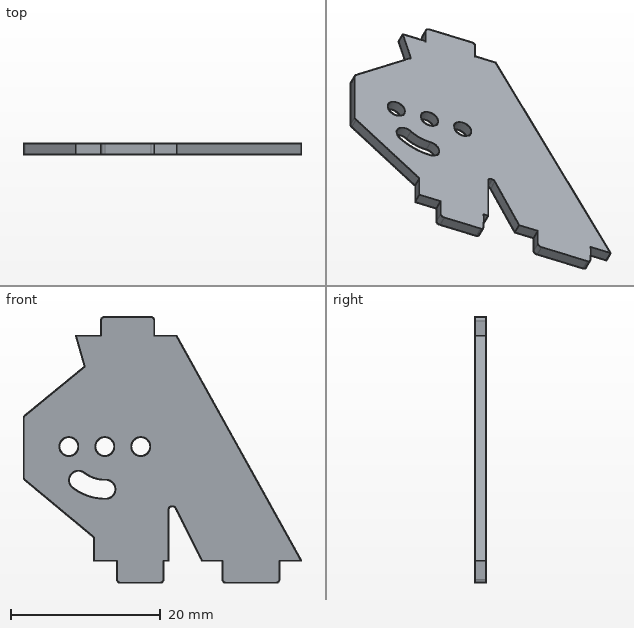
import cadquery as cq
import math

thickness = 1.5
overall_width = 37.1
overall_height = 35.51

top_tab_height = 2.5
base_tab_height = 2.93
body_height = overall_height - top_tab_height - base_tab_height
top_tab_left = 10.32
top_tab_right = 17.47
left_tab_left = 12.46
left_tab_right = 18.7
right_tab_left = 26.54
right_tab_right = 34.18
tab_corner_radius = 0.5

nose_bottom = 10.95
nose_top = 19.27
nose_corner_radius = 0.5
foot_left = 9.38
foot_top = 3.16
neck_x = 8.15
neck_z = 25.95
top_edge_left = 6.97
top_edge_right = 20.42

notch_left = 19.37
notch_base_right = 23.83
notch_top_right = 20.17
notch_depth = 7.28
notch_corner_radius = 0.42

hole_diameter = 2.5
hole_pitch = 4.8
middle_hole_x = 10.85
hole_row_z = 15.27
slot_width = 2.5
slot_radius = 5.7
slot_start_angle = 232
slot_end_angle = 271.5


def extrude_outline(points):
    """Extrude a closed XZ polygon through the plate thickness, from Y = 0 to +Y."""
    return cq.Workplane("XZ").polyline(points).close().extrude(-thickness)


def make_body():
    """Plate without tabs, notch or holes, with both nose corners rounded."""
    outline = [
        (foot_left, 0),
        (overall_width, 0),
        (top_edge_right, body_height),
        (top_edge_left, body_height),
        (neck_x, neck_z),
        (0, nose_top),
        (0, nose_bottom),
        (foot_left, foot_top),
    ]
    return extrude_outline(outline).faces("<X").edges("|Y").fillet(nose_corner_radius)


def make_tab(left, right, root_z, tip_z, tip_side):
    """Rectangular tab with its two tip corners rounded."""
    corners = [(left, root_z), (right, root_z), (right, tip_z), (left, tip_z)]
    tab = extrude_outline(corners)
    return tab.faces(tip_side).edges("|Y").fillet(tab_corner_radius)


def make_notch():
    """Cutter for the tapered notch, rounded at its closed end."""
    corners = [
        (notch_left, 0),
        (notch_base_right, 0),
        (notch_top_right, notch_depth),
        (notch_left, notch_depth),
    ]
    notch = extrude_outline(corners)
    return notch.faces(">Z").edges("|Y").fillet(notch_corner_radius)


def make_holes():
    """Cutters for the three round holes."""
    centers = [(middle_hole_x + step * hole_pitch, hole_row_z) for step in (-1, 0, 1)]
    return cq.Workplane("XZ").pushPoints(centers).circle(hole_diameter / 2).extrude(-thickness)


def point_around_middle_hole(radius, angle):
    """XZ point at a radius and an angle in degrees about the middle hole."""
    radians = math.radians(angle)
    return (middle_hole_x + radius * math.cos(radians), hole_row_z + radius * math.sin(radians))


def make_slot():
    """Cutter for the curved slot: an arc band with a round end at each side."""
    inner_radius = slot_radius - slot_width / 2
    outer_radius = slot_radius + slot_width / 2
    middle_angle = (slot_start_angle + slot_end_angle) / 2
    band = (
        cq.Workplane("XZ")
        .moveTo(*point_around_middle_hole(inner_radius, slot_start_angle))
        .threePointArc(
            point_around_middle_hole(inner_radius, middle_angle),
            point_around_middle_hole(inner_radius, slot_end_angle),
        )
        .lineTo(*point_around_middle_hole(outer_radius, slot_end_angle))
        .threePointArc(
            point_around_middle_hole(outer_radius, middle_angle),
            point_around_middle_hole(outer_radius, slot_start_angle),
        )
        .close()
        .extrude(-thickness)
    )
    end_centers = [point_around_middle_hole(slot_radius, a) for a in (slot_start_angle, slot_end_angle)]
    ends = cq.Workplane("XZ").pushPoints(end_centers).circle(slot_width / 2).extrude(-thickness)
    return band.union(ends)


plate = make_body()
plate = plate.union(make_tab(top_tab_left, top_tab_right, body_height, body_height + top_tab_height, ">Z"))
plate = plate.union(make_tab(left_tab_left, left_tab_right, 0, -base_tab_height, "<Z"))
plate = plate.union(make_tab(right_tab_left, right_tab_right, 0, -base_tab_height, "<Z"))
result = plate.cut(make_notch()).cut(make_holes()).cut(make_slot())